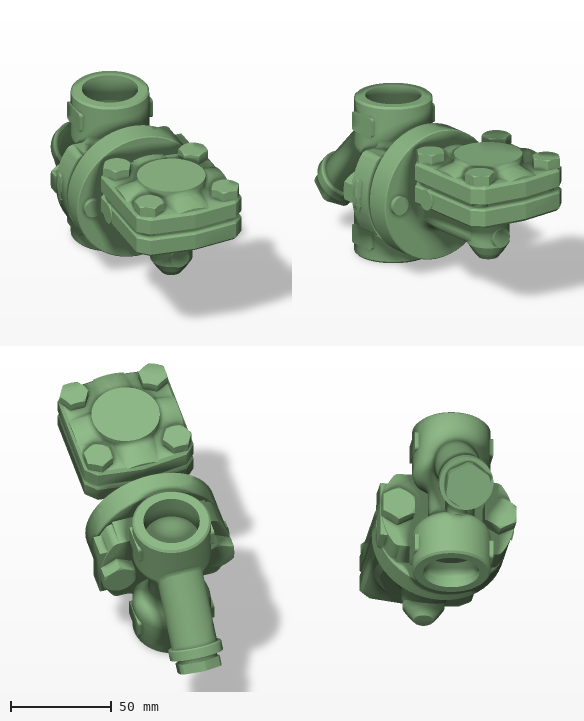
import cadquery as cq
import math

body_dia = 39.0
body_height = 82.0
body_edge_chamfer = 1.0
bore_dia = 28.0
bore_depth = 14.0
neck_dia = 23.0
upper_shoulder_z = 16.7
upper_neck_z = 3.3
lower_neck_z = -9.2
lower_shoulder_z = -21.6
upper_shoulder_share = 0.42
lower_shoulder_share = 0.56
pad_width = 16.0
pad_height = 10.0
pad_corner = 1.5
pad_proud = 0.3
pad_z = 29.5

branch_axis_z = 27.7
branch_dia = 23.0
branch_fillet = 2.5
collar_dia = 27.0
collar_start = 54.7
collar_end = 60.0
collar_round = 0.8
plug_neck_dia = 20.0
plug_start = 62.3
plug_end = 67.3
plug_flats = 21.0
plug_dia = 23.0
web_width = 10.0
web_edge_round = 4.9
web_radius = 4.5

flange_z = -1.0
flange_dia = 67.0
body_flange_x = (10.05, 22.8)
body_flange_half_height = 20.8
body_flange_corner = 4.0
body_flange_draft_rise = 1.8
body_flange_wedge_width = 48.0
flange_gasket_dia = 35.0
arm_flange_x = (24.6, 37.7)
arm_flange_chamfer = 0.5
flange_bolt_y = 25.6
flange_bolt_dia = 9.5
flange_bolt_end_x = 40.2
flange_bolt_flats = 16.0
flange_bolt_head = 6.55
fairing_radius = 2.5
arrow_x = 15.9
arrow_half_width = 2.1
arrow_stem_half_width = 0.7
arrow_top_z = 7.2
arrow_notch_depth = 0.8
arrow_tail_z = -1.1
arrow_head_z = -5.6
arrow_tip_z = -9.1
arrow_face_radius = 34.4
name_pad_face_y = 33.9
name_pad_height = 30.0
name_pad_x = (10.8, 22.0)
name_pad_depth = 5.0

arm_width = 22.0
arm_z = (-17.1, 9.3)
arm_flat_z = (-10.0, 2.0)
arm_root_fillet = 2.8

trap_x = 78.18
plate_half_x = 31.0
plate_corner_x = 28.2
plate_half_y = 28.3
plate_corner_y = 23.0
plate_flat_x = 22.8
plate_chamfer = 1.5
lower_plate_z = (4.6, 14.7)
upper_plate_z = (17.6, 26.8)
trap_gasket_dia = 33.0
trap_bolt_offset = 20.5
trap_bolt_dia = 8.0
trap_bolt_flats = 13.0
hub_dia = 34.0
hub_top_z = 32.0
hub_fillet = 1.8
ridge_start = 12.0
ridge_sink = 0.01
ridge_end_x = 29.6
ridge_end_y = 27.3
ridge_inner = (11.0, 4.4)
ridge_outer = (8.0, 1.3)
dish_dia = 43.6
dish_rim_dia = 49.6
dish_bottom_z = 1.6
post_dia = 21.0
post_fillet = 4.5
post_taper = [(post_dia / 2, -14.4), (7.6, -18.8), (5.0, -22.0)]
side_plug_dia = 10.0
side_plug_x = 89.5
side_plug_z = -9.5
round_pad_dia = 10.5
round_pad_x = 64.9
round_pad_z = 9.7
round_pad_proud = 0.6

edge_margin = 0.1

body_radius = body_dia / 2
neck_radius = neck_dia / 2
flange_radius = flange_dia / 2


def x_cylinder(dia, x_start, x_end, y=0.0, z=0.0):
    plane = cq.Workplane("YZ", origin=(x_start, y, z))
    return plane.circle(dia / 2).extrude(x_end - x_start)


def z_cylinder(dia, z_start, z_end, x=0.0, y=0.0):
    return cq.Workplane("XY", origin=(x, y, z_start)).circle(dia / 2).extrude(z_end - z_start)


def hexagon_corners(flats):
    """Distance across the corners of a hexagon from the distance across its flats."""
    return flats / math.cos(math.radians(30))


def bolt_head(flats, height, turn):
    """Hexagon head standing on XY, its top corners turned down to the flats by 30 degrees."""
    corners = hexagon_corners(flats)
    head = cq.Workplane("XY").polygon(6, corners).extrude(height)
    drop = (corners - flats) / 2 * math.tan(math.radians(30))
    crown = cq.Workplane("XZ").polyline(
        [(0, 0), (corners / 2, 0), (corners / 2, height - drop), (flats / 2, height), (0, height)]
    ).close().revolve(360, (0, 0, 0), (0, 1, 0))
    return head.intersect(crown).rotate((0, 0, 0), (0, 0, 1), turn)


def s_curve(profile, start, end, share):
    """Add two tangent arcs from start to end, both ends vertical; share goes to the first arc."""
    d_r = end[0] - start[0]
    d_z = end[1] - start[1]
    half = math.atan2(abs(d_r), abs(d_z))
    middle = (start[0] + share * d_r, start[1] + share * d_z)

    def arc_middle(p, q, vertical_at_p):
        radius = abs(q[1] - p[1]) / math.sin(2 * half)
        rise = radius * math.sin(half) * math.copysign(1, d_z)
        run = radius * (1 - math.cos(half)) * math.copysign(1, d_r)
        return (p[0] + run, p[1] + rise) if vertical_at_p else (q[0] - run, q[1] - rise)

    profile = profile.threePointArc(arc_middle(start, middle, True), middle)
    return profile.threePointArc(arc_middle(middle, end, False), end)


def edges_in_box(solid, low, high):
    return solid.edges(cq.selectors.BoxSelector(low, high, boundingbox=True))


def make_pipe():
    half = body_height / 2
    rim = body_radius - body_edge_chamfer
    profile = cq.Workplane("XZ").moveTo(0, half).lineTo(rim, half)
    profile = profile.lineTo(body_radius, half - body_edge_chamfer).lineTo(body_radius, upper_shoulder_z)
    profile = s_curve(
        profile, (body_radius, upper_shoulder_z), (neck_radius, upper_neck_z), upper_shoulder_share
    )
    profile = profile.lineTo(neck_radius, lower_neck_z)
    profile = s_curve(
        profile, (neck_radius, lower_neck_z), (body_radius, lower_shoulder_z), 1 - lower_shoulder_share
    )
    profile = profile.lineTo(body_radius, body_edge_chamfer - half).lineTo(rim, -half).lineTo(0, -half)
    return profile.close().revolve(360, (0, 0, 0), (0, 1, 0))


def cut_bores(solid):
    half = body_height / 2
    upper = z_cylinder(bore_dia, half - bore_depth, half)
    lower = z_cylinder(bore_dia, -half, bore_depth - half)
    return solid.cut(upper).cut(lower)


def make_pipe_pads():
    depth = 2 * (body_radius + pad_proud)
    pads = cq.Workplane("XZ", origin=(0, depth / 2, 0)).pushPoints([(0, pad_z), (0, -pad_z)])
    pads = pads.rect(pad_width, pad_height).extrude(depth).edges("|Y").fillet(pad_corner)
    return pads.cut(z_cylinder(bore_dia, -body_height, body_height))


def branch_plane(distance):
    step = distance * math.sqrt(0.5)
    return cq.Plane(
        origin=(-step, 0, branch_axis_z - step), xDir=(-1, 0, 1), normal=(-1, 0, -1)
    )


def make_branch_tube():
    return cq.Workplane(branch_plane(0)).circle(branch_dia / 2).extrude(collar_start)


def make_crotch_web():
    """Web under the branch; its arched lower edge is tangent to the tube and to the pipe."""
    slant = math.sqrt(0.5)
    arc_x = -body_radius - web_radius
    arc_z = arc_x + branch_axis_z - (branch_dia / 2 + web_radius) / slant
    tube_point = (arc_x - web_radius * slant, arc_z + web_radius * slant)
    web = cq.Workplane("XZ", origin=(0, web_width / 2, 0)).moveTo(*tube_point)
    web = web.threePointArc((arc_x, arc_z + web_radius), (-body_radius, arc_z))
    web = web.lineTo(0, arc_z).lineTo(0, branch_axis_z).close()
    return web.extrude(web_width).edges("%CIRCLE").fillet(web_edge_round)


def make_branch_end():
    collar = cq.Workplane(branch_plane(collar_start)).circle(collar_dia / 2)
    collar = collar.extrude(collar_end - collar_start).faces(">X").edges().fillet(collar_round)
    neck = cq.Workplane(branch_plane(collar_end)).circle(plug_neck_dia / 2).extrude(plug_start - collar_end)
    length = plug_end - plug_start
    hexagon = cq.Workplane(branch_plane(plug_start))
    hexagon = hexagon.polygon(6, hexagon_corners(plug_flats)).extrude(length)
    round_bar = cq.Workplane(branch_plane(plug_start)).circle(plug_dia / 2).extrude(length)
    return collar.union(neck).union(hexagon.intersect(round_bar))


def make_body_flange():
    height = 2 * body_flange_half_height
    disc = x_cylinder(flange_dia, *body_flange_x, z=flange_z)
    limits = cq.Workplane("XY", origin=(0, 0, flange_z)).box(body_height, flange_dia, height)
    flange = disc.intersect(limits).edges("|X").fillet(body_flange_corner)
    x0, x1 = body_flange_x
    low = body_flange_half_height
    high = low + body_flange_draft_rise
    wedge = cq.Workplane("XZ", origin=(0, body_flange_wedge_width / 2, flange_z)).polyline(
        [(x0, -low), (x1, -high), (x1, high), (x0, low)]
    ).close().extrude(body_flange_wedge_width)
    return flange.union(wedge)


def make_flange_marks():
    right_side = [
        (arrow_half_width, arrow_top_z),
        (arrow_half_width, arrow_tail_z),
        (arrow_stem_half_width, arrow_tail_z - arrow_notch_depth),
        (arrow_stem_half_width, arrow_head_z),
        (arrow_half_width, arrow_head_z),
    ]
    left_side = [(-x, z) for x, z in reversed(right_side)]
    outline = [(0, arrow_top_z - arrow_notch_depth)] + right_side + [(0, arrow_tip_z)] + left_side
    arrow = cq.Workplane("XZ", origin=(arrow_x, -flange_bolt_y, 0)).polyline(outline).close()
    arrow = arrow.extrude(flange_radius)
    arrow = arrow.intersect(x_cylinder(2 * arrow_face_radius, *body_flange_x, z=flange_z))
    x0, x1 = name_pad_x
    name_pad = cq.Workplane("XY").box(x1 - x0, name_pad_depth, name_pad_height).translate(
        ((x0 + x1) / 2, name_pad_face_y - name_pad_depth / 2, flange_z)
    )
    return arrow.union(name_pad)


def make_arm_flange():
    flange = x_cylinder(flange_dia, *arm_flange_x, z=flange_z).edges().chamfer(arm_flange_chamfer)
    x = arm_flange_x[1]
    low = (x - edge_margin, -arm_width, -arm_width)
    high = (x + edge_margin, arm_width, arm_width)
    joint = edges_in_box(flange.union(make_arm()), low, high).fillet(arm_root_fillet)
    joint = joint.union(x_cylinder(flange_gasket_dia, body_flange_x[1], arm_flange_x[0], z=flange_z))
    head = bolt_head(flange_bolt_flats, flange_bolt_head, 0).rotate((0, 0, 0), (0, 1, 0), -90)
    for y in (-flange_bolt_y, flange_bolt_y):
        joint = joint.union(x_cylinder(flange_bolt_dia, body_flange_x[0], flange_bolt_end_x, y, flange_z))
        joint = joint.union(head.translate((body_flange_x[0], y, flange_z)))
    return joint


def make_arm():
    """Flat-sided bar with half-elliptic top and bottom, blended into the flange face."""
    bottom, top = arm_z
    flat_bottom, flat_top = arm_flat_z
    half = arm_width / 2
    arm = cq.Workplane("YZ", origin=(arm_flange_x[1] - arm_flange_chamfer, 0, 0))
    arm = arm.moveTo(-half, flat_top).lineTo(-half, flat_bottom)
    arm = arm.ellipseArc(half, flat_bottom - bottom, 180, 360, startAtCurrent=True)
    arm = arm.lineTo(half, flat_top)
    arm = arm.ellipseArc(half, top - flat_top, 0, 180, startAtCurrent=True).close()
    return arm.extrude(trap_x - arm_flange_x[1] + arm_flange_chamfer)


def make_plate(z_range):
    z0, z1 = z_range
    plate = cq.Workplane("XY", origin=(trap_x, 0, z0)).moveTo(-plate_flat_x, plate_half_y)
    plate = plate.lineTo(plate_flat_x, plate_half_y).lineTo(plate_corner_x, plate_corner_y)
    plate = plate.lineTo(plate_half_x, 0).lineTo(plate_corner_x, -plate_corner_y)
    plate = plate.lineTo(plate_flat_x, -plate_half_y).lineTo(-plate_flat_x, -plate_half_y)
    plate = plate.lineTo(-plate_corner_x, -plate_corner_y)
    plate = plate.lineTo(-plate_half_x, 0).lineTo(-plate_corner_x, plate_corner_y).close()
    return plate.extrude(z1 - z0)


def make_ridge(turn, end):
    """Rounded ridge running outward along X from the hub, falling and narrowing to the plate edge."""
    ridge = cq.Workplane("YZ", origin=(ridge_start, 0, upper_plate_z[1] - ridge_sink))
    half, height = ridge_inner
    ridge = ridge.moveTo(-half, 0).threePointArc((0, height), (half, 0)).close()
    half, height = ridge_outer
    ridge = ridge.workplane(offset=end - ridge_start)
    ridge = ridge.moveTo(-half, 0).threePointArc((0, height), (half, 0)).close().loft(ruled=True)
    return ridge.rotate((0, 0, 0), (0, 0, 1), turn).translate((trap_x, 0, 0))


def make_cover():
    cover = make_plate(upper_plate_z).faces(">Z").edges().chamfer(plate_chamfer)
    cover = cover.union(z_cylinder(hub_dia, upper_plate_z[0], hub_top_z, trap_x))
    for turn, length in ((0, ridge_end_x), (90, ridge_end_y), (180, ridge_end_x), (270, ridge_end_y)):
        cover = cover.union(make_ridge(turn, length))
    reach = hub_dia / 2 + edge_margin
    low = (trap_x - reach, -reach, upper_plate_z[1] - edge_margin)
    high = (trap_x + reach, reach, hub_top_z - edge_margin)
    cover = edges_in_box(cover, low, high).fillet(hub_fillet)
    cover = cover.union(z_cylinder(trap_gasket_dia, lower_plate_z[1], upper_plate_z[0], trap_x))
    for x_side in (-1, 1):
        for y_side in (-1, 1):
            x = trap_x + x_side * trap_bolt_offset
            y = y_side * trap_bolt_offset
            turn = 0 if x_side != y_side else 90
            head = bolt_head(trap_bolt_flats, hub_top_z - upper_plate_z[1], turn)
            cover = cover.union(head.translate((x, y, upper_plate_z[1])))
            cover = cover.union(z_cylinder(trap_bolt_dia, lower_plate_z[1], upper_plate_z[0], x, y))
    return cover


def make_trap_base():
    plate = make_plate(lower_plate_z).faces("<Z").edges().chamfer(plate_chamfer)
    plate = plate.faces(">Z").edges().chamfer(plate_chamfer / 2)
    post_radius = post_dia / 2
    rim = dish_bottom_z - post_fillet
    arc_inset = post_fillet * (1 - math.sqrt(0.5))
    under = cq.Workplane("XZ").moveTo(0, lower_plate_z[1]).lineTo(dish_rim_dia / 2, lower_plate_z[1])
    under = under.lineTo(dish_rim_dia / 2, lower_plate_z[0]).lineTo(dish_dia / 2, dish_bottom_z)
    under = under.lineTo(post_radius + post_fillet, dish_bottom_z)
    under = under.threePointArc((post_radius + arc_inset, dish_bottom_z - arc_inset), (post_radius, rim))
    for point in post_taper:
        under = under.lineTo(*point)
    under = under.lineTo(0, post_taper[-1][1]).close().revolve(360, (0, 0, 0), (0, 1, 0))
    base = plate.union(under.translate((trap_x, 0, 0)))
    base = base.union(x_cylinder(side_plug_dia, trap_x, side_plug_x, z=side_plug_z))
    round_pad = cq.Workplane("XZ", origin=(round_pad_x, -plate_corner_y, round_pad_z))
    round_pad = round_pad.circle(round_pad_dia / 2)
    pad_length = plate_half_y + round_pad_proud - plate_corner_y
    return base.union(round_pad.extrude(pad_length))


def make_body():
    """Pipe, branch and body flange as one casting with its blend fillets."""
    pipe = make_pipe().union(make_branch_tube())
    reach = branch_dia / 2 + edge_margin
    low = (-body_radius - edge_margin, -reach, lower_neck_z)
    high = (0, reach, branch_axis_z)
    pipe = edges_in_box(pipe, low, high).fillet(branch_fillet)
    casting = pipe.union(make_body_flange())
    for side in (-1, 1):
        z = flange_z + side * body_flange_half_height
        low = (body_flange_x[0] - edge_margin, -body_radius, z - body_flange_draft_rise)
        high = (body_radius + edge_margin, body_radius, z + body_flange_draft_rise)
        casting = edges_in_box(casting, low, high).edges("%ELLIPSE").fillet(fairing_radius)
    casting = cut_bores(casting.union(make_crotch_web()).union(make_pipe_pads()))
    return casting.union(make_branch_end()).union(make_flange_marks())


trap_side = make_arm_flange().union(make_trap_base()).union(make_cover())
result = make_body().union(trap_side)